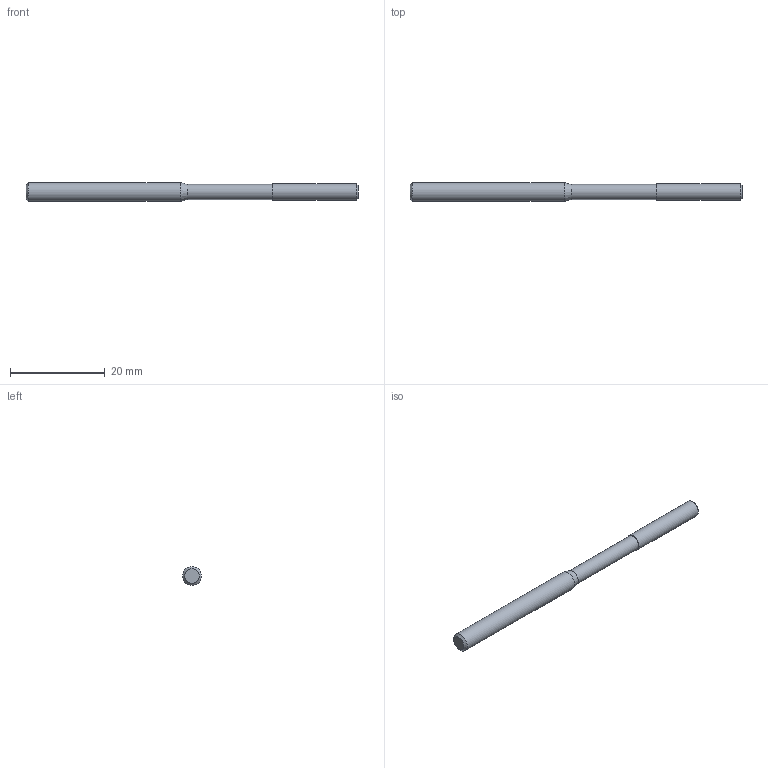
import cadquery as cq
import math

total_length = 70.0
taper_end = 34.0
head_length = 18.0
head_start = total_length - head_length

shank_diameter = 4.0
neck_diameter = 3.2
head_diameter = 3.5

shank_chamfer = 0.5
head_chamfer = 0.35

shank_radius = shank_diameter / 2
neck_radius = neck_diameter / 2
head_radius = head_diameter / 2

taper_half_angle = 15.0
taper_length = (shank_radius - neck_radius) / math.tan(math.radians(taper_half_angle))
shank_length = taper_end - taper_length

start_x = -total_length / 2


def turned(profile):
    """Revolve a list of (distance from the shank end, radius) points about X."""
    points = [(start_x + distance, radius) for distance, radius in profile]
    return cq.Workplane("XZ").polyline(points).close().revolve(360, (0, 0, 0), (1, 0, 0))


def make_shank():
    """Chamfered shank that tapers down to the slimmer neck."""
    return turned([
        (0, 0),
        (0, shank_radius - shank_chamfer),
        (shank_chamfer, shank_radius),
        (shank_length, shank_radius),
        (taper_end, neck_radius),
        (head_start, neck_radius),
        (head_start, 0),
    ])


def make_cutting_head():
    """Plain cylindrical envelope of the cutting head, chamfered at the tip."""
    return turned([
        (head_start, 0),
        (head_start, head_radius),
        (total_length - head_chamfer, head_radius),
        (total_length, head_radius - head_chamfer),
        (total_length, 0),
    ])


shank = make_shank()
cutting_head = make_cutting_head()

result = cq.Compound.makeCompound([shank.val(), cutting_head.val()])